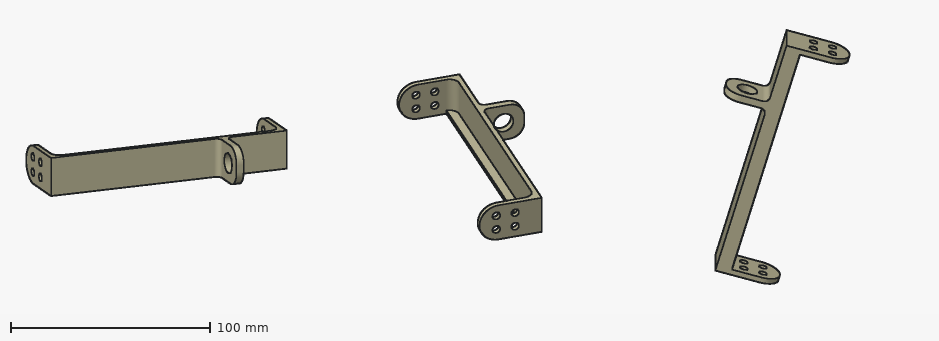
import cadquery as cq

length = 128.0
height = 20.0
total_reach = 55.0

wall = 3.0
frame_depth = 33.0
inner_corner_radius = 5.0
ledge_width = 5.0
ledge_thickness = 1.9

arm_hole_diameter = 4.0
arm_hole_first_x = 9.0
arm_hole_pitch_x = 10.0
arm_hole_pitch_z = 8.0

lug_y = 29.6
lug_thickness = 4.0
lug_corner_radius = 8.0
lug_root_radius = 3.0
lug_hole_diameter = 10.2
lug_hole_x = 44.0

arm_tip_radius = height / 2
inner_back_x = frame_depth - wall
inner_length = length - 2 * wall


def upright_box(x_start, x_end, y_center, y_size):
    """Full-height block between two X positions."""
    return (
        cq.Workplane("XY")
        .box(x_end - x_start, y_size, height)
        .translate(((x_start + x_end) / 2, y_center, 0))
    )


def drill_along_y(body, points, diameter):
    """Drill through the whole length at the given (X, Z) points."""
    drill = (
        cq.Workplane("XZ")
        .pushPoints(points)
        .circle(diameter / 2)
        .extrude(length, both=True)
    )
    return body.cut(drill)


def make_frame():
    """Back wall and two arms with rounded inner corners and round arm tips."""
    opening = upright_box(-frame_depth, inner_back_x, 0, inner_length)
    opening = opening.edges("|Z and >X").fillet(inner_corner_radius)
    frame = upright_box(0, frame_depth, 0, length).cut(opening)
    tip = (
        cq.Workplane("XZ")
        .center(arm_tip_radius, 0)
        .circle(arm_tip_radius)
        .extrude(length, both=True)
    )
    rounded_profile = tip.union(upright_box(arm_tip_radius, frame_depth, 0, length))
    return frame.intersect(rounded_profile)


def make_ledge():
    """Thin floor strip along the foot of the back wall, running into its corners."""
    return (
        cq.Workplane("XY")
        .box(ledge_width + wall, inner_length, ledge_thickness)
        .translate((
            inner_back_x - ledge_width + (ledge_width + wall) / 2,
            0,
            (ledge_thickness - height) / 2,
        ))
    )


def make_lug():
    """Rounded plate standing off the back wall, with fillets at its root."""
    plate = upright_box(inner_back_x, total_reach, lug_y, lug_thickness)
    plate = plate.edges("|Y and >X").fillet(lug_corner_radius)
    root_width = lug_thickness + 2 * lug_root_radius
    root = upright_box(inner_back_x, frame_depth + lug_root_radius, lug_y, root_width)
    for side in (-1, 1):
        hollow = (
            cq.Workplane("XY")
            .center(frame_depth + lug_root_radius, lug_y + side * root_width / 2)
            .circle(lug_root_radius)
            .extrude(height, both=True)
        )
        root = root.cut(hollow)
    return plate.union(root)


arm_hole_points = [
    (arm_hole_first_x + column * arm_hole_pitch_x, side * arm_hole_pitch_z / 2)
    for column in (0, 1)
    for side in (-1, 1)
]

frame = drill_along_y(make_frame(), arm_hole_points, arm_hole_diameter)
lug = drill_along_y(make_lug(), [(lug_hole_x, 0)], lug_hole_diameter)
result = frame.union(make_ledge()).union(lug)